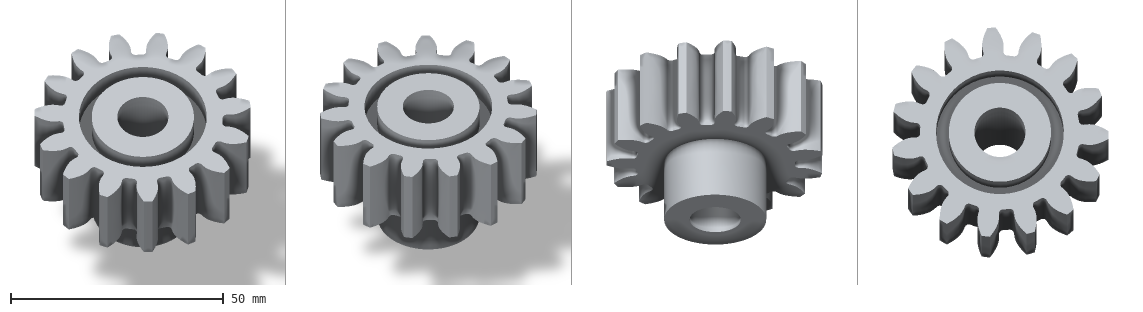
import cadquery as cq
import math

overall_width = 50.9
tooth_count = 15
pressure_angle = math.radians(20)
dedendum_factor = 1.25
root_fillet = 1.0
total_height = 34.0
face_width = 19.0
hub_radius = 12.0
bore_radius = 6.0
groove_outer_radius = 15.0
groove_depth = 5.5
involute_points = 7

pitch_angle = 2 * math.pi / tooth_count
first_tooth_angle = -math.pi / 2
tip_to_pitch_ratio = 1 + 2 / tooth_count


def involute_function(angle):
    return math.tan(angle) - angle


def flank_angle(radius_over_base):
    """Half angle of a tooth at a radius given as a multiple of the base radius."""
    local_pressure_angle = math.acos(1 / radius_over_base)
    return base_half_angle - involute_function(local_pressure_angle)


base_half_angle = pitch_angle / 4 + involute_function(pressure_angle)
tip_half_angle = flank_angle(tip_to_pitch_ratio / math.cos(pressure_angle))

side_tooth_angle = pitch_angle / 4
tip_radius = overall_width / 2 / math.cos(side_tooth_angle - tip_half_angle)
pitch_radius = tip_radius / tip_to_pitch_ratio
module = 2 * pitch_radius / tooth_count
base_radius = pitch_radius * math.cos(pressure_angle)
root_radius = pitch_radius - dedendum_factor * module

fillet_centre_radius = root_radius + root_fillet
fillet_offset_angle = math.asin(root_fillet / fillet_centre_radius)
fillet_centre_angle = base_half_angle + fillet_offset_angle
fillet_flank_radius = fillet_centre_radius * math.cos(fillet_offset_angle)


def polar(radius, angle):
    return (radius * math.cos(angle), radius * math.sin(angle))


def flank_points(centre_angle, side):
    """Points from root fillet to tip on one flank, radial below the base circle; side is -1 or 1."""
    points = [polar(fillet_flank_radius, centre_angle + side * base_half_angle)]
    for index in range(involute_points):
        radius = base_radius + (tip_radius - base_radius) * index / (involute_points - 1)
        points.append(polar(radius, centre_angle + side * flank_angle(radius / base_radius)))
    return points


def fillet_middle(centre_angle, side):
    """Point halfway along the root fillet arc on one side of a tooth."""
    x, y = polar(fillet_centre_radius, centre_angle + side * fillet_centre_angle)
    facing_axis = centre_angle + side * fillet_centre_angle + math.pi
    facing_flank = centre_angle + side * base_half_angle - side * math.pi / 2
    middle = math.atan2(
        math.sin(facing_axis) + math.sin(facing_flank),
        math.cos(facing_axis) + math.cos(facing_flank),
    )
    return (x + root_fillet * math.cos(middle), y + root_fillet * math.sin(middle))


def add_tooth(outline, centre_angle):
    """Extend the outline counterclockwise over one tooth and the gap after it."""
    rising = flank_points(centre_angle, -1)
    falling = flank_points(centre_angle, 1)[::-1]
    next_gap_end = centre_angle + pitch_angle - fillet_centre_angle
    return (
        outline
        .threePointArc(fillet_middle(centre_angle, -1), rising[0])
        .spline(rising[1:], includeCurrent=True)
        .threePointArc(polar(tip_radius, centre_angle), falling[0])
        .spline(falling[1:], includeCurrent=True)
        .threePointArc(
            fillet_middle(centre_angle, 1),
            polar(root_radius, centre_angle + fillet_centre_angle),
        )
        .threePointArc(
            polar(root_radius, centre_angle + pitch_angle / 2),
            polar(root_radius, next_gap_end),
        )
    )


def toothed_rim():
    start = polar(root_radius, first_tooth_angle - fillet_centre_angle)
    outline = cq.Workplane("XY").workplane(offset=total_height - face_width).moveTo(*start)
    for tooth in range(tooth_count):
        outline = add_tooth(outline, first_tooth_angle + tooth * pitch_angle)
    return outline.close().extrude(face_width)


hub = cq.Workplane("XY").circle(hub_radius).extrude(total_height)

groove = (
    cq.Workplane("XY")
    .workplane(offset=total_height - groove_depth)
    .circle(groove_outer_radius)
    .circle(hub_radius)
    .extrude(groove_depth)
)

bore = cq.Workplane("XY").circle(bore_radius).extrude(total_height)

result = toothed_rim().cut(groove).union(hub).cut(bore)